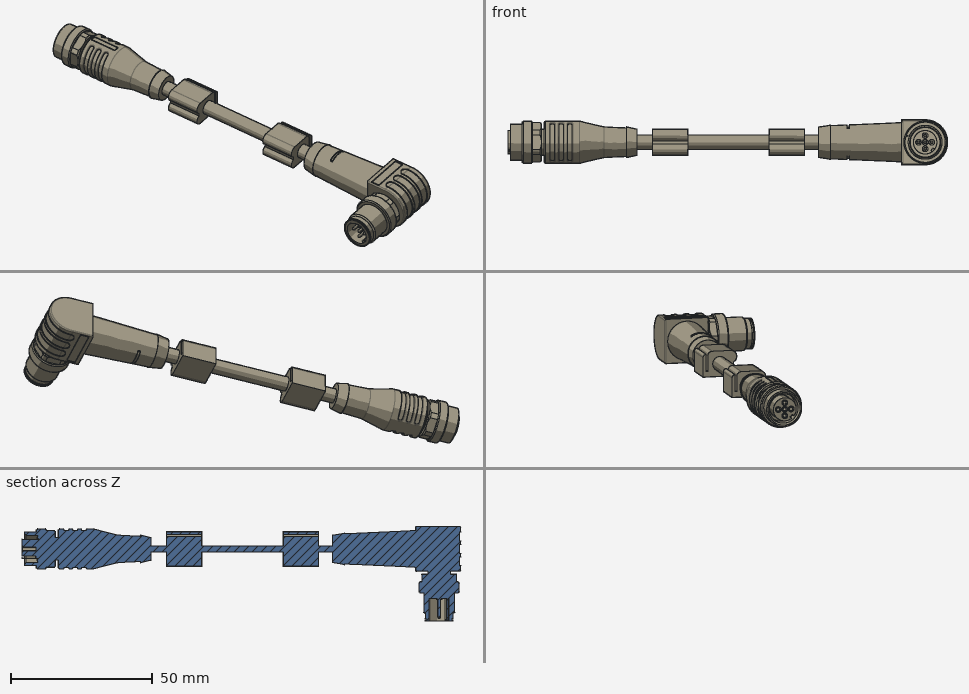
import cadquery as cq
import math


overall_length = 155.37

cable_diameter = 5.2
clip_length = 12.5
clip_starts = (51.1, 92.3)
clip_height = 9.2
clip_flat_left = -4.2
clip_flat_right = 2.8
clip_lobe_reach = 2.0
clip_notch_top = 0.45
clip_notch_bottom = -0.7
clip_notch_wall = -5.0
clip_body_right = 4.4
clip_plate_outer = 6.1
clip_plate_inner = 5.0
clip_plate_top = 3.6
clip_slot_floor = -2.5

ring_diameter = 15.0
ring_chamfer = 0.4
hex_across_flats = 13.0
hex_corner_diameter = 14.0
hex_end_chamfer = 0.5
socket_hex_turn = 30
plug_hex_turn = 0
neck_diameter = 9.3

contact_circle_radius = 2.35
contact_rim_diameter = 2.0
contact_rim_height = 0.3
key_angle = -45
key_width = 1.15
key_depth = 0.7

insert_diameter = 8.3
sleeve_diameter = 12.8
sleeve_start = 0.95
socket_ring_start = 5.1
socket_ring_end = 8.7
socket_hex_end = 11.9
grip_start = 12.8
grip_end = 25.4
grip_diameter = 15.0
grip_chamfer = 0.5
taper_end = 33.9
taper_end_diameter = 10.95
waist_end = 41.9
waist_end_diameter = 10.2
collar_diameter = 10.95
collar_end = 45.7
collar_end_diameter = 9.3
sleeve_bore_diameter = 10.5
sleeve_bore_depth = 5.0
sleeve_bore_chamfer = 0.6
socket_hole_diameter = 1.15
socket_hole_depth = 5.0

groove_width = 1.6
groove_depth = 0.45
groove_edge_fillet = 0.25
groove_pitch = 3.1
groove_middle_x = 18.85
groove_end_y = 2.85
pocket_start = 13.7
pocket_end = 23.9
pocket_width = 1.9
pocket_floor_z = 7.2

boot_start = 109.7
boot_start_diameter = 10.8
boot_rim_x = 114.0
boot_rim_diameter = 12.2
boot_neck_diameter = 11.85
boot_end_diameter = 14.0
boot_slit_start = 119.7
boot_slit_width = 0.9
boot_slit_length = 6.6
boot_slit_radius = 5.8

head_start = 139.1
head_radius = 7.985
head_axis_x = overall_length - head_radius
head_flat_height = 7.96
head_half_width = 7.97
head_edge_fillet = 0.4
head_groove_width = 3.1
head_groove_pitch = 4.4
head_groove_start = 145.2
head_groove_depth = 0.35
head_pocket_start = 140.5
head_pocket_end = 143.6
head_pocket_length = 14.2
head_pocket_depth = 0.3

plug_hex_start = 8.9
plug_ring_start = 11.6
plug_ring_end = 15.6
barrel_diameter = 12.0
barrel_end = 22.4
tip_start = 22.9
tip_diameter = 10.95
tip_groove_start = 24.6
tip_rim_start = 25.2
plug_end = 25.53
tip_groove_diameter = 10.5
plug_bore_diameter = 8.3
plug_bore_depth = 8.0
pin_diameter = 1.0
pin_recess = 1.0
pin_tip_fillet = 0.45


def rod(diameter, start, end):
    """Cylinder along X."""
    return cq.Workplane("YZ", origin=(start, 0, 0)).circle(diameter / 2).extrude(end - start)


def turned(profile):
    """Solid of revolution about X from (position, diameter) pairs."""
    outline = [(x, diameter / 2) for x, diameter in profile]
    outline = [(profile[0][0], 0)] + outline + [(profile[-1][0], 0)]
    return cq.Workplane("XY").polyline(outline).close().revolve(360, (0, 0, 0), (1, 0, 0))


def nut_hex(start, end, chamfered_end, turn):
    """Hexagon along X, turned by an angle, with round corners and a bevel at the chosen end."""
    corner_to_corner = hex_across_flats / math.cos(math.pi / 6)
    hexagon = cq.Workplane("YZ", origin=(start, 0, 0)).polygon(6, corner_to_corner).extrude(end - start)
    hexagon = hexagon.rotate((0, 0, 0), (1, 0, 0), turn)
    turned_corners = rod(hex_corner_diameter, start, end).faces(chamfered_end).chamfer(hex_end_chamfer)
    return hexagon.intersect(turned_corners)


def nut_ring(start, end):
    return rod(ring_diameter, start, end).faces("<X or >X").chamfer(ring_chamfer)


def contact_places():
    """Centre contact and four contacts around it."""
    r = contact_circle_radius
    return [(0, 0), (r, 0), (-r, 0), (0, r), (0, -r)]


def key_block(wall_radius, inward, outward, start, end):
    """Radial bar along X at the keying angle, reaching inward and outward from a round wall."""
    bar = cq.Workplane("XY").box(end - start, inward + outward, key_width, centered=(False, False, True))
    return bar.translate((start, wall_radius - inward, 0))


def socket_body():
    nut = turned([(sleeve_start, sleeve_diameter), (socket_ring_start, sleeve_diameter)])
    nut = nut.union(nut_ring(socket_ring_start, socket_ring_end))
    nut = nut.union(nut_hex(socket_ring_end, socket_hex_end, ">X", socket_hex_turn))
    bore_end = sleeve_start + sleeve_bore_depth
    bore = turned([
        (sleeve_start, sleeve_bore_diameter + 2 * sleeve_bore_chamfer),
        (sleeve_start + sleeve_bore_chamfer, sleeve_bore_diameter),
        (bore_end, sleeve_bore_diameter),
    ])
    seal_thickness = (sleeve_bore_diameter - insert_diameter) / 2
    seal_radius = (sleeve_bore_diameter + insert_diameter) / 4
    seal = cq.Workplane("XY").center(bore_end, seal_radius).circle(seal_thickness / 2)
    seal = seal.revolve(360, (0, -seal_radius, 0), (1, -seal_radius, 0))
    nut = nut.cut(bore).union(seal)

    insert = rod(insert_diameter, 0, bore_end)
    holes = cq.Workplane("YZ").pushPoints(contact_places())
    holes = holes.circle(socket_hole_diameter / 2).extrude(socket_hole_depth)
    keyway = key_block(insert_diameter / 2, key_depth, key_depth, 0, bore_end - seal_thickness)
    keyway = keyway.rotate((0, 0, 0), (1, 0, 0), 180 - key_angle)
    rims = cq.Workplane("YZ").pushPoints(contact_places())
    rims = rims.circle(contact_rim_diameter / 2).extrude(contact_rim_height)
    insert = insert.cut(holes).cut(rims).cut(keyway)

    shell = turned([
        (grip_start, grip_diameter - 2 * grip_chamfer),
        (grip_start + grip_chamfer, grip_diameter),
        (grip_end, grip_diameter),
        (taper_end, taper_end_diameter),
        (waist_end, waist_end_diameter),
        (waist_end, collar_diameter),
        (collar_end, collar_end_diameter),
    ])
    shell = shell.cut(finger_grooves())
    shell = shell.newObject(groove_rims(shell)).fillet(groove_edge_fillet).cut(marking_pocket())
    neck = rod(neck_diameter, socket_hex_end, grip_start)
    return nut.union(insert).union(neck).union(shell)


def finger_grooves():
    """Three round-ended grooves across each side of the grip."""
    blank_length = grip_diameter
    slot_centre_y = groove_end_y + blank_length / 2
    places = [
        (groove_middle_x + step * groove_pitch, side * slot_centre_y)
        for step in (-1, 0, 1)
        for side in (-1, 1)
    ]
    blanks = cq.Workplane("XY").pushPoints(places).slot2D(blank_length, groove_width, 90)
    blanks = blanks.extrude(grip_diameter / 2, both=True)
    return blanks.cut(rod(grip_diameter - 2 * groove_depth, grip_start, grip_end))


def groove_rims(shell):
    """Edges where the finger grooves meet the outside of the grip."""
    rims = []
    for edge in shell.edges().vals():
        box = edge.BoundingBox()
        beside_axis = max(box.ymax, -box.ymin) > grip_diameter / 2 - groove_depth / 2
        one_sided = box.ymin * box.ymax > 0
        if one_sided and beside_axis and grip_start + grip_chamfer < box.center.x < pocket_end:
            rims.append(edge)
    return rims


def marking_pocket():
    length = pocket_end - pocket_start
    pocket = cq.Workplane("XY").box(length, pocket_width, grip_diameter / 2, centered=(False, True, False))
    return pocket.translate((pocket_start, 0, pocket_floor_z))


def label_clip(start):
    """Clip around the cable with two lobes on one side and a thin label plate on the other."""
    top = clip_height / 2
    bottom = -top
    upper_lobe_middle = (top + clip_notch_top) / 2
    lower_lobe_middle = (bottom + clip_notch_bottom) / 2
    lobe_tip = clip_flat_left - clip_lobe_reach
    shoulder = clip_body_right - clip_flat_right
    shoulder_middle = shoulder * math.sqrt(0.5)
    plate_thickness = clip_plate_outer - clip_plate_inner
    plate_round_middle = plate_thickness * math.sqrt(0.5)
    outline = (
        cq.Workplane("YZ", origin=(start, 0, 0))
        .moveTo(clip_flat_right, top)
        .lineTo(clip_flat_left, top)
        .threePointArc((lobe_tip, upper_lobe_middle), (clip_notch_wall, clip_notch_top))
        .lineTo(clip_notch_wall, clip_notch_bottom)
        .threePointArc((lobe_tip, lower_lobe_middle), (clip_flat_left, bottom))
        .lineTo(clip_plate_outer, bottom)
        .lineTo(clip_plate_outer, clip_plate_top - plate_thickness)
        .threePointArc(
            (clip_plate_inner + plate_round_middle, clip_plate_top - plate_thickness + plate_round_middle),
            (clip_plate_inner, clip_plate_top),
        )
        .lineTo(clip_plate_inner, clip_slot_floor)
        .lineTo(clip_body_right, clip_slot_floor)
        .lineTo(clip_body_right, top - shoulder)
        .threePointArc(
            (clip_flat_right + shoulder_middle, top - shoulder + shoulder_middle),
            (clip_flat_right, top),
        )
        .close()
    )
    return outline.extrude(clip_length)


def boot():
    body = turned([
        (boot_start, boot_start_diameter),
        (boot_rim_x, boot_rim_diameter),
        (boot_rim_x, boot_neck_diameter),
        (head_start, boot_end_diameter),
    ])
    slit = cq.Workplane("XY").box(
        boot_slit_width, boot_slit_length, boot_end_diameter, centered=(False, True, True)
    )
    slit = slit.translate((boot_slit_start, 0, 0))
    slit = slit.cut(rod(2 * boot_slit_radius, boot_slit_start, boot_slit_start + boot_slit_width))
    return body.cut(slit)


def head_outline(inset):
    """Block with a round far end rising just above the flats, shrunk all round by an inset."""
    radius = head_radius - inset
    flat = head_flat_height - inset
    flat_end = head_axis_x - math.sqrt(radius**2 - flat**2)
    outline = (
        cq.Workplane("XZ", origin=(0, head_half_width, 0))
        .moveTo(head_start, -flat)
        .lineTo(flat_end, -flat)
        .threePointArc((head_axis_x + radius, 0), (flat_end, flat))
        .lineTo(head_start, flat)
        .close()
    )
    return outline.extrude(2 * head_half_width)


def head_grooves():
    """Three grooves that start round on one flat, wrap the far end and finish round on the other flat."""
    blank_length = 2 * (head_axis_x + head_radius - head_groove_start)
    centre_x = head_groove_start + blank_length / 2
    places = [(centre_x, step * head_groove_pitch) for step in (-1, 0, 1)]
    blanks = cq.Workplane("XY").pushPoints(places).slot2D(blank_length, head_groove_width)
    blanks = blanks.extrude(head_radius, both=True)
    return blanks.cut(head_outline(head_groove_depth))


def head():
    core = head_outline(0).edges("not |Y").fillet(head_edge_fillet)
    core = core.cut(head_grooves())
    pocket = cq.Workplane("XY").box(
        head_pocket_end - head_pocket_start, head_pocket_length, 2 * head_radius,
        centered=(False, True, True),
    )
    pocket = pocket.translate((head_pocket_start, 0, 0))
    pocket_offset = head_flat_height + head_radius - head_pocket_depth
    for side in (-1, 1):
        core = core.cut(pocket.translate((0, 0, side * pocket_offset)))
    return core


def plug():
    """Plug modelled along +X and then turned to point toward -Y from the head."""
    body = turned([
        (plug_ring_end, barrel_diameter),
        (barrel_end, barrel_diameter),
        (tip_start, tip_diameter),
        (tip_groove_start, tip_diameter),
        (tip_groove_start, tip_groove_diameter),
        (tip_rim_start, tip_groove_diameter),
        (tip_rim_start, tip_diameter),
        (plug_end, tip_diameter),
    ])
    bore_floor = plug_end - plug_bore_depth
    body = body.cut(rod(plug_bore_diameter, bore_floor, plug_end))
    key = key_block(plug_bore_diameter / 2, key_depth, key_depth / 2, bore_floor, tip_rim_start)
    body = body.union(key.rotate((0, 0, 0), (1, 0, 0), key_angle))
    body = body.union(nut_ring(plug_ring_start, plug_ring_end))
    body = body.union(nut_hex(plug_hex_start, plug_ring_start, "<X", plug_hex_turn))
    body = body.union(rod(neck_diameter, 0, plug_hex_start))
    pin_end = plug_end - pin_recess
    pin = rod(pin_diameter, plug_ring_end, pin_end).faces(">X").edges().fillet(pin_tip_fillet)
    pin = pin.union(rod(contact_rim_diameter, plug_ring_end, bore_floor + contact_rim_height))
    for y, z in contact_places():
        body = body.union(pin.translate((0, y, z)))
    return body.rotate((0, 0, 0), (0, 0, 1), -90).translate((head_axis_x, 0, 0))


result = socket_body().union(rod(cable_diameter, waist_end, boot_rim_x))
for clip_start in clip_starts:
    result = result.union(label_clip(clip_start))
result = result.union(boot()).union(head()).union(plug())